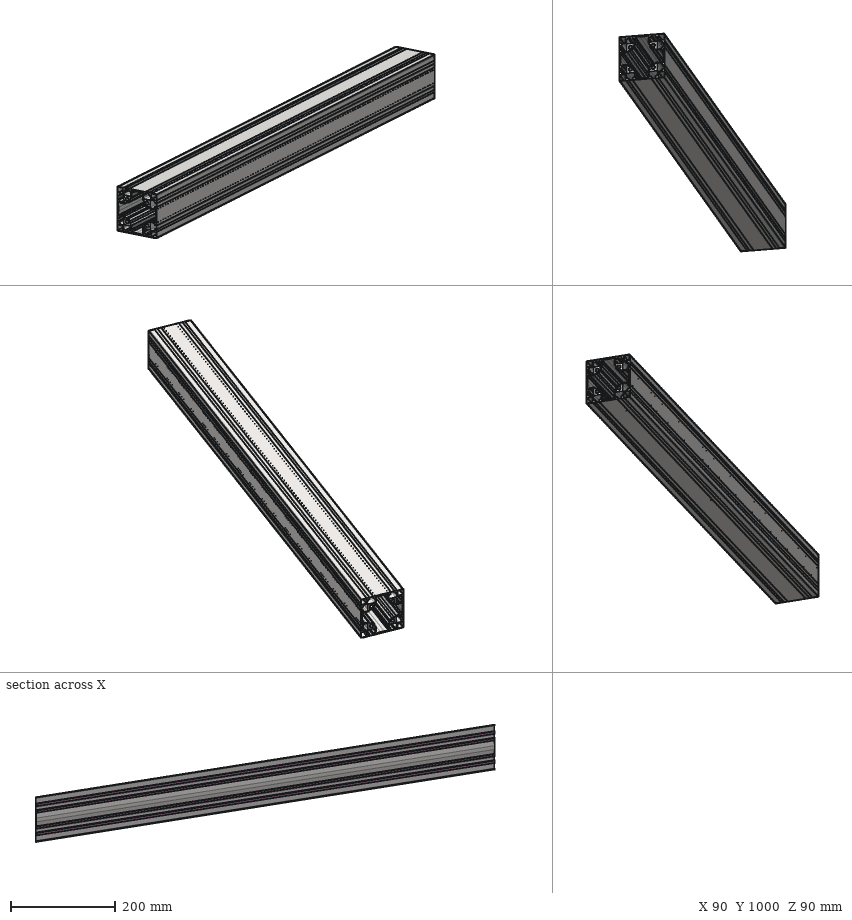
import cadquery as cq

SIZE = 90.0
LENGTH = 1000.0
CORNER_RADIUS = 2.5
HALF = SIZE / 2

SLOT_OFFSET = 22.5
NECK_HALF_WIDTH = 4.0
SLOT_HALF_WIDTH = 8.5
SLOT_TOP = 4.5
SLOT_FLOOR = 15.0
LIP_RADIUS = 5.0
FLOOR_RADIUS = 2.4

COVER = 0.65
COVER_HALF_WIDTH = 2.6
COVER_EDGE_TOP_BOTTOM = 0.3
COVER_EDGE_LEFT_RIGHT = 0.4

CORNER_WALL = 1.2
CHAMBER_MOUTH = 13.0
CHAMBER_DEPTH = 12.2
LIP_DEPTH = 9.3

CORE_BORE = 6.8
CORE_REACH = 6.5
CORE_CHAMFER = 4.0

ARM_HALF_WIDTH = 12.5
ARM_ROOT = 28.5
WALL_AT_SLOT = 2.1
WALL_AT_MIDDLE = 3.1
WALL_FLAT_HALF_WIDTH = 3.75
MOUTH_HALF_WIDTH = 13.4
MOUTH_DEPTH = 6.5
MOUTH_END = 8.5


def full_length(section):
    """Extrude a cross-section in the XZ plane along the whole length, centred on Y = 0."""
    return section.extrude(LENGTH / 2, both=True)


def prism(points):
    """Full-length prism with a closed polygon as its XZ outline."""
    return full_length(cq.Workplane("XZ").polyline(points).close())


def around(shape, quarter_turns):
    """Turn a shape made for the top side onto another side."""
    return shape.rotate((0, 0, 0), (0, 1, 0), 90 * quarter_turns)


def slot_chamber(x, cover_edge):
    """Rounded T-slot chamber below the top side, closed by its cover."""
    middle_depth = (SLOT_TOP + SLOT_FLOOR) / 2
    section = cq.Workplane("XZ").center(x, HALF - middle_depth)
    body = full_length(section.rect(2 * SLOT_HALF_WIDTH, SLOT_FLOOR - SLOT_TOP))
    body = body.edges("|Y and >Z").fillet(LIP_RADIUS)
    body = body.edges("|Y and <Z").fillet(FLOOR_RADIUS)
    half_neck = [
        (COVER_HALF_WIDTH, HALF - COVER),
        (NECK_HALF_WIDTH, HALF - cover_edge),
        (NECK_HALF_WIDTH, HALF - middle_depth),
    ]
    right = [(x + offset, z) for offset, z in half_neck]
    left = [(x - offset, z) for offset, z in reversed(half_neck)]
    neck = prism(right + left)
    return body.union(neck)


def corner_chamber(x_side, z_side):
    """Hollow in a corner, widening towards the side walls next to the slot lips."""
    outline = [
        (CORNER_WALL, CORNER_WALL),
        (CHAMBER_MOUTH, CORNER_WALL),
        (CHAMBER_DEPTH, LIP_DEPTH),
        (CHAMBER_DEPTH, CHAMBER_DEPTH),
        (LIP_DEPTH, CHAMBER_DEPTH),
        (CORNER_WALL, CHAMBER_MOUTH),
    ]
    return prism([(x_side * (HALF - a), z_side * (HALF - b)) for a, b in outline])


def central_hollow():
    """Cross-shaped hollow bounded by the side walls and the four screw cores."""
    core = SLOT_OFFSET - CORE_REACH
    half_arm = [
        (WALL_FLAT_HALF_WIDTH, HALF - WALL_AT_MIDDLE),
        (MOUTH_HALF_WIDTH, HALF - WALL_AT_SLOT),
        (MOUTH_HALF_WIDTH, HALF - MOUTH_DEPTH),
        (ARM_HALF_WIDTH, HALF - MOUTH_END),
        (ARM_HALF_WIDTH, ARM_ROOT),
        (core, ARM_ROOT - (core - ARM_HALF_WIDTH)),
        (core, core + CORE_CHAMFER),
    ]
    quarter = half_arm + [(z, x) for x, z in reversed(half_arm)]
    right_half = quarter + [(x, -z) for x, z in reversed(quarter)]
    return prism(right_half + [(-x, z) for x, z in reversed(right_half)])


def screw_bore(x, z):
    return full_length(cq.Workplane("XZ").center(x, z).circle(CORE_BORE / 2))


profile = full_length(cq.Workplane("XZ").rect(SIZE, SIZE))
profile = profile.edges("|Y").fillet(CORNER_RADIUS)
profile = profile.cut(central_hollow())

cover_edges = (COVER_EDGE_TOP_BOTTOM, COVER_EDGE_LEFT_RIGHT)
for quarter_turns in range(4):
    for x in (-SLOT_OFFSET, SLOT_OFFSET):
        chamber = slot_chamber(x, cover_edges[quarter_turns % 2])
        profile = profile.cut(around(chamber, quarter_turns))

for x_side in (-1, 1):
    for z_side in (-1, 1):
        profile = profile.cut(corner_chamber(x_side, z_side))
        profile = profile.cut(screw_bore(x_side * SLOT_OFFSET, z_side * SLOT_OFFSET))

result = profile